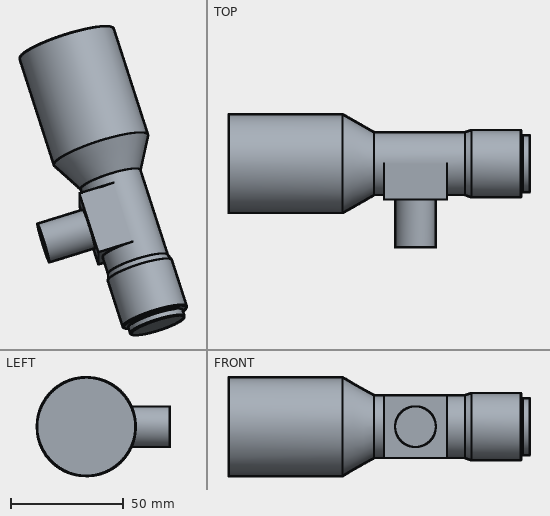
import cadquery as cq

length = 133.8

head_diameter = 44.0
head_length = 50.6
head_edge_chamfer = 0.3
cone_length = 14.0

tube_diameter = 28.0

collar_diameter = 30.0
collar_taper_start = 104.9
collar_taper_length = 2.8
collar_end = 129.9
collar_chamfer = 0.4

groove_diameter = 23.4
groove_length = 0.7
disc_diameter = 25.4
disc_chamfer = 0.4

block_size = tube_diameter
block_center_x = 83.0
block_face_y = -15.9
stub_diameter = 18.0
stub_end_y = -37.0

def turned_body():
    """Revolve the stepped half profile around the X axis."""
    head_radius = head_diameter / 2
    tube_radius = tube_diameter / 2
    collar_radius = collar_diameter / 2
    groove_radius = groove_diameter / 2
    disc_radius = disc_diameter / 2
    disc_start = collar_end + groove_length
    profile = [
        (0, 0),
        (0, head_radius - head_edge_chamfer),
        (head_edge_chamfer, head_radius),
        (head_length, head_radius),
        (head_length + cone_length, tube_radius),
        (collar_taper_start, tube_radius),
        (collar_taper_start + collar_taper_length, collar_radius),
        (collar_end - collar_chamfer, collar_radius),
        (collar_end, collar_radius - collar_chamfer),
        (collar_end, groove_radius),
        (disc_start, groove_radius),
        (disc_start, disc_radius),
        (length - disc_chamfer, disc_radius),
        (length, disc_radius - disc_chamfer),
        (length, 0),
    ]
    return cq.Workplane("XY").polyline(profile).close().revolve(360, (0, 0), (1, 0))

def side_block():
    """Square block reaching from the tube axis to its flat -Y face."""
    return (
        cq.Workplane("XZ", origin=(block_center_x, 0, 0))
        .rect(block_size, block_size)
        .extrude(-block_face_y)
    )

def side_stub():
    """Round stub from the tube axis out to its -Y end."""
    return (
        cq.Workplane("XZ", origin=(block_center_x, 0, 0))
        .circle(stub_diameter / 2)
        .extrude(-stub_end_y)
    )

result = turned_body().union(side_block()).union(side_stub())